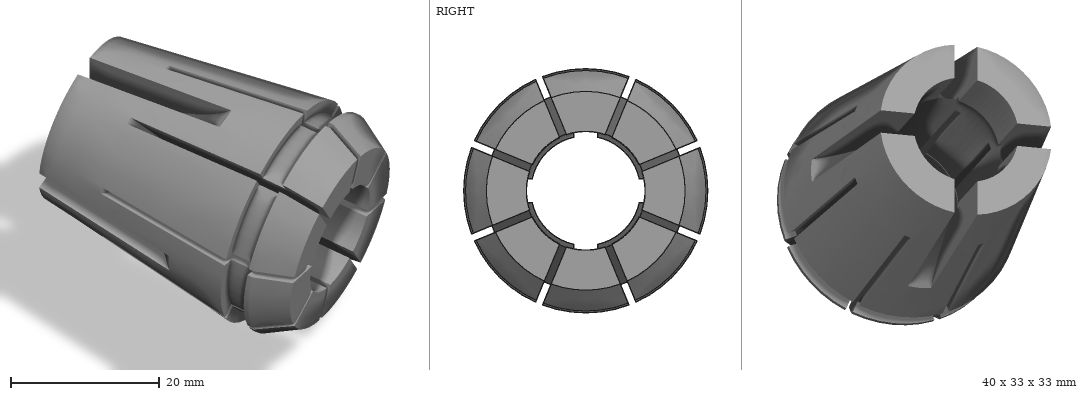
import cadquery as cq
import math

length = 40.0
small_diameter = 24.2
large_diameter = 33.0
cone_length = 30.95

groove_width = 3.45
groove_diameter = 29.1
head_diameter = 32.5
head_land = 0.7
head_angle = 30.0

front_bore_diameter = 14.8
front_bore_length = 9.0
relief_diameter = 16.2
rear_bore_diameter = 16.0

wide_slot_count = 4
wide_slot_width = 3.2
cutter_radius = 21.0
cutter_center_x = 5.9
cutter_center_radius = 28.5

narrow_slot_count = 8
narrow_slot_width = 1.0
narrow_slot_start = 10.05
narrow_slot_end_angle = 54.0

groove_end = cone_length + groove_width
land_end = groove_end + head_land
head_radius = head_diameter / 2
head_end_radius = head_radius - (length - land_end) * math.tan(math.radians(head_angle))
taper = (large_diameter - small_diameter) / 2 / cone_length
narrow_slot_start_radius = small_diameter / 2 + taper * narrow_slot_start
cut_radius = large_diameter


def make_body():
    """Tapered outer shape with the extraction groove and chamfered head."""
    outline = [
        (0, 0),
        (0, small_diameter / 2),
        (cone_length, large_diameter / 2),
        (cone_length, groove_diameter / 2),
        (groove_end, groove_diameter / 2),
        (groove_end, head_radius),
        (land_end, head_radius),
        (length, head_end_radius),
        (length, 0),
    ]
    return cq.Workplane("XY").polyline(outline).close().revolve(360, (0, 0, 0), (1, 0, 0))


def make_bore_step(diameter, start, end):
    """Cylinder along X between two stations."""
    return cq.Workplane("YZ", origin=(start, 0, 0)).circle(diameter / 2).extrude(end - start)


def make_wide_slot():
    """Slot on the +Z side: open to the bore at the small end, rising to the cone on an arc."""
    open_part = (
        cq.Workplane("XZ")
        .moveTo(0, 0)
        .lineTo(front_bore_length, 0)
        .lineTo(front_bore_length, cut_radius)
        .lineTo(0, cut_radius)
        .close()
        .extrude(wide_slot_width / 2, both=True)
    )
    runout = (
        cq.Workplane("XZ")
        .center(cutter_center_x, cutter_center_radius)
        .circle(cutter_radius)
        .extrude(wide_slot_width / 2, both=True)
    )
    return open_part.union(runout)


def make_narrow_slot():
    """Slot on the +Z side, cut through to the bore, with a sloping closed end."""
    slope = math.tan(math.radians(narrow_slot_end_angle))
    end_at_axis = narrow_slot_start + narrow_slot_start_radius / slope
    end_at_outside = narrow_slot_start - (cut_radius - narrow_slot_start_radius) / slope
    outline = [
        (end_at_axis, 0),
        (length, 0),
        (length, cut_radius),
        (end_at_outside, cut_radius),
    ]
    return cq.Workplane("XZ").polyline(outline).close().extrude(narrow_slot_width / 2, both=True)


def cut_around(part, cutter, count, first_angle):
    """Cut equally spaced copies of the cutter about the X axis."""
    for index in range(count):
        angle = first_angle + index * 360 / count
        part = part.cut(cutter.rotate((0, 0, 0), (1, 0, 0), angle))
    return part


result = make_body()
result = result.cut(make_bore_step(front_bore_diameter, 0, front_bore_length))
result = result.cut(make_bore_step(relief_diameter, front_bore_length, cone_length))
result = result.cut(make_bore_step(rear_bore_diameter, cone_length, length))
result = cut_around(result, make_wide_slot(), wide_slot_count, 0)
result = cut_around(result, make_narrow_slot(), narrow_slot_count, 180 / narrow_slot_count)